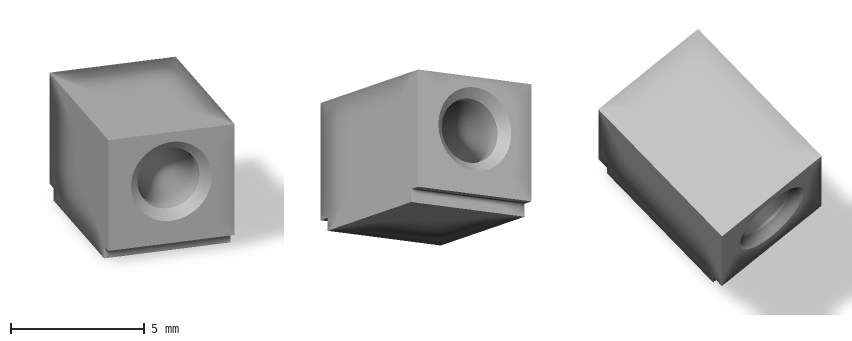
import cadquery as cq

length = 7.0
width = 5.0
height = 5.0

step = 0.5

bore_diameter = 2.46
countersink_diameter = 3.2
bore_to_top = 2.0
bore_height = height - bore_to_top
countersink_depth = (countersink_diameter - bore_diameter) / 2


def make_body():
    """Block with a base that is shorter than the upper part."""
    base = cq.Workplane("XY").box(length - 2 * step, width, step, centered=(True, True, False))
    upper = (
        cq.Workplane("XY")
        .workplane(offset=step)
        .box(length, width, height - step, centered=(True, True, False))
    )
    return base.union(upper)


def make_bore():
    """Through bore along X."""
    start = cq.Vector(-length / 2, 0, bore_height)
    return cq.Solid.makeCylinder(bore_diameter / 2, length, start, cq.Vector(1, 0, 0))


def make_countersink(side):
    """Cone narrowing inward from the end face at side = -1 or +1."""
    mouth = cq.Vector(side * length / 2, 0, bore_height)
    inward = cq.Vector(-side, 0, 0)
    return cq.Solid.makeCone(
        countersink_diameter / 2, bore_diameter / 2, countersink_depth, mouth, inward
    )


result = make_body().cut(make_bore())
for side in (-1, 1):
    result = result.cut(make_countersink(side))